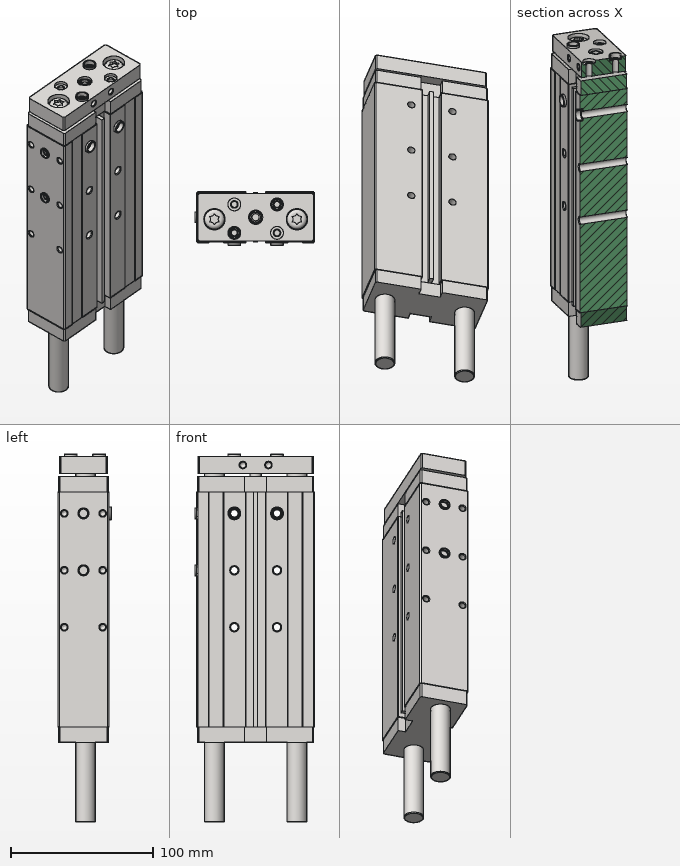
import cadquery as cq
import math


barrel_length = 187.0
cap_length = 11.0
profile_length = barrel_length - 2 * cap_length
profile_half_x = 41.5
profile_half_y = 18.0
profile_chamfer = 1.0
cap_half_x = 40.8
cap_half_y = 17.5
cap_chamfer = 1.0

channel_depth = 6.0
cap_channel_half = 7.7
channel_mouth_half = 7.1
channel_half = 6.8
rib_half = 1.4
rib_drop = 0.6
recess_depth = 0.5
recess_inner_x = 22.3
recess_outer_x = 33.2
recess_slope = 0.5

first_row_z = barrel_length - 26.0
row_pitch = 40.0
row_heights = [first_row_z - i * row_pitch for i in range(3)]
side_sleeve_heights = row_heights[:2]
mount_hole_x = 15.0
mount_hole_diameter = 5.2
mount_rim_diameter = 6.5
side_hole_y = 13.5
thread_hole_diameter = 4.13
thread_rim_diameter = 5.3
thread_hole_depth = 8.0
drill_tip_angle = 118.0

sleeve_diameter = 9.0
sleeve_bore = 7.0
sleeve_seat_depth = 2.1
sleeve_protrusion = 1.8
sleeve_chamfer = 0.3
small_sleeve_diameter = 7.7
small_sleeve_bore = 6.0
small_sleeve_seat_depth = 1.6
small_sleeve_protrusion = 1.29

plate_gap = 2.0
plate_thickness = 12.0
plate_half_x = 40.5
plate_half_y = 16.8
plate_chamfer = 1.0
plate_bottom_z = barrel_length + plate_gap
plate_top_z = plate_bottom_z + plate_thickness

guide_rod_y = -1.4
guide_rod_x = 29.0
guide_rod_diameter = 14.0
guide_rod_chamfer = 0.6
guide_rod_overhang = 56.0
piston_rod_diameter = 8.0
piston_seat_diameter = 10.0
piston_seat_depth = 2.0
piston_chamfer = 0.8
piston_tip_diameter = 8.5
piston_socket_diameter = 5.0
piston_socket_depth = 3.0

plate_hole_x = mount_hole_x
plate_hole_y = 10.0
plate_hole_center_y = -1.0
front_hole_x = 9.0

screw_seat_diameter = 15.0
screw_seat_depth = 4.5
screw_head_diameter = 14.0
screw_head_height = 3.0
screw_face_diameter = 9.0
star_outer_radius = 3.8
star_inner_radius = 2.6
star_depth = 2.0
star_lobes = 6


def chamfered_block(half_x, half_y, chamfer, bottom_z, height):
    """Upright block whose vertical edges are chamfered."""
    block = cq.Workplane("XY", origin=(0, 0, bottom_z)).rect(2 * half_x, 2 * half_y).extrude(height)
    return block.edges("|Z").chamfer(chamfer)


def cylinder(start, direction, diameter, length):
    """Cylinder that grows from a start point along a direction."""
    return cq.Workplane(cq.Solid.makeCylinder(diameter / 2, length, cq.Vector(*start), cq.Vector(*direction)))


def cone(start, direction, start_diameter, end_diameter, length):
    """Cone that tapers from one diameter to another along a direction."""
    solid = cq.Solid.makeCone(
        start_diameter / 2, end_diameter / 2, length, cq.Vector(*start), cq.Vector(*direction)
    )
    return cq.Workplane(solid)


def shifted(start, direction, distance):
    """Point reached from a start point along a direction."""
    return tuple(s + d * distance for s, d in zip(start, direction))


def rim(start, direction, rim_diameter, hole_diameter):
    """45 degree countersink at the mouth of a hole."""
    return cone(start, direction, rim_diameter, hole_diameter, (rim_diameter - hole_diameter) / 2)


def thread_hole(start, direction):
    """Blind threaded hole: countersunk mouth, bore and drill tip."""
    tip_length = thread_hole_diameter / 2 / math.tan(math.radians(drill_tip_angle / 2))
    bottom = shifted(start, direction, thread_hole_depth)
    bore = cylinder(start, direction, thread_hole_diameter, thread_hole_depth)
    tip = cone(bottom, direction, thread_hole_diameter, 0, tip_length)
    return bore.union(tip).union(rim(start, direction, thread_rim_diameter, thread_hole_diameter))


def prism(points):
    """Prism with a constant XY outline along the whole housing."""
    return cq.Workplane("XY", origin=(0, 0, cap_length)).polyline(points).close().extrude(profile_length)


def rod_bores():
    """Bores for the guide rods, and for the piston rod down to the lower cap."""
    bores = cylinder((0, 0, cap_length), (0, 0, 1), piston_rod_diameter, barrel_length - cap_length)
    for x in (-guide_rod_x, guide_rod_x):
        bores = bores.union(cylinder((x, guide_rod_y, 0), (0, 0, 1), guide_rod_diameter, barrel_length))
    return bores


def front_channel():
    """Front channel of the profile, split in two grooves by the rib."""
    face = -profile_half_y
    floor = face + channel_depth
    slope = channel_mouth_half - channel_half
    channel = prism([
        (-channel_mouth_half, face),
        (channel_mouth_half, face),
        (channel_half, face + slope),
        (channel_half, floor),
        (-channel_half, floor),
        (-channel_half, face + slope),
    ])
    rib_tip = face + rib_drop
    rib = prism([
        (-rib_half, rib_tip),
        (rib_half, rib_tip),
        (rib_half, floor),
        (-rib_half, floor),
    ])
    return channel.cut(rib)


def front_recess():
    """Shallow strip with sloped walls on the right-hand half of the front."""
    face = -profile_half_y
    floor = face + recess_depth
    return prism([
        (recess_inner_x, face),
        (recess_outer_x, face),
        (recess_outer_x - recess_slope, floor),
        (recess_inner_x + recess_slope, floor),
    ])


def make_housing():
    body = chamfered_block(profile_half_x, profile_half_y, profile_chamfer, cap_length, profile_length)
    recess = front_recess()
    channel = front_channel()
    body = body.cut(recess).cut(recess.mirror("YZ"))
    body = body.cut(channel).cut(channel.mirror("XZ"))

    for z in row_heights:
        for x in (-mount_hole_x, mount_hole_x):
            mouth = (x, -profile_half_y, z)
            body = body.cut(cylinder(mouth, (0, 1, 0), mount_hole_diameter, 2 * profile_half_y))
            body = body.cut(rim(mouth, (0, 1, 0), mount_rim_diameter, mount_hole_diameter))
        for y in (-side_hole_y, side_hole_y):
            body = body.cut(thread_hole((-profile_half_x, y, z), (1, 0, 0)))
    for x in (-mount_hole_x, mount_hole_x):
        seat_mouth = (x, -profile_half_y, first_row_z)
        body = body.cut(cylinder(seat_mouth, (0, 1, 0), sleeve_diameter, sleeve_seat_depth))
    for z in side_sleeve_heights:
        mouth = (-profile_half_x, 0, z)
        body = body.cut(cylinder(mouth, (1, 0, 0), small_sleeve_diameter, small_sleeve_seat_depth))

    return body.cut(rod_bores())


def end_cap(bottom_z):
    """Smooth cap with a plain channel on the front and back."""
    cap = chamfered_block(cap_half_x, cap_half_y, cap_chamfer, bottom_z, cap_length)
    depth = cap_half_y - (profile_half_y - channel_depth)
    for side in (-1, 1):
        slot = cq.Workplane("XY", origin=(0, side * cap_half_y, bottom_z))
        slot = slot.rect(2 * cap_channel_half, 2 * depth).extrude(cap_length)
        cap = cap.cut(slot)
    return cap.cut(rod_bores())


def guide_rod(x):
    length = barrel_length + guide_rod_overhang + plate_gap
    rod = cylinder((x, guide_rod_y, -guide_rod_overhang), (0, 0, 1), guide_rod_diameter, length)
    return rod.faces("<Z").chamfer(guide_rod_chamfer)


def star_socket():
    """Six-lobed drive recess below the plane z = 0."""
    corners = []
    for i in range(2 * star_lobes):
        radius = star_inner_radius if i % 2 else star_outer_radius
        angle = math.radians(90) + i * math.pi / star_lobes
        corners.append((radius * math.cos(angle), radius * math.sin(angle)))
    return cq.Workplane("XY").polyline(corners).close().extrude(-star_depth)


def screw_head():
    """Domed head with a drive recess, resting on the plane z = 0."""
    face_radius = screw_face_diameter / 2
    head_radius = screw_head_diameter / 2
    middle = math.radians(45)
    arc_middle = (
        face_radius + (head_radius - face_radius) * math.sin(middle),
        screw_head_height * math.cos(middle),
    )
    head = (
        cq.Workplane("XZ")
        .lineTo(head_radius, 0)
        .threePointArc(arc_middle, (face_radius, screw_head_height))
        .lineTo(0, screw_head_height)
        .close()
        .revolve(360, (0, 0, 0), (0, 1, 0))
    )
    return head.cut(star_socket().translate((0, 0, screw_head_height)))


def piston_seat():
    """Stepped opening in the plate around the end of the piston rod."""
    down = (0, 0, -1)
    top = (0, 0, plate_top_z)
    seat = cylinder(top, down, piston_seat_diameter, piston_seat_depth)
    tip_bottom = shifted(top, down, piston_seat_depth)
    tip = cylinder(tip_bottom, (0, 0, 1), piston_tip_diameter, piston_seat_depth - piston_chamfer)
    tip = tip.faces(">Z").chamfer(piston_chamfer)
    socket = cylinder(top, down, piston_socket_diameter, piston_socket_depth)
    return seat.cut(tip).union(socket)


def make_moving_unit():
    down = (0, 0, -1)
    unit = chamfered_block(plate_half_x, plate_half_y, plate_chamfer, plate_bottom_z, plate_thickness)
    for x in (-guide_rod_x, guide_rod_x):
        unit = unit.union(guide_rod(x))
    piston_length = plate_bottom_z - cap_length
    unit = unit.union(cylinder((0, 0, cap_length), (0, 0, 1), piston_rod_diameter, piston_length))
    unit = unit.cut(piston_seat())

    for x in (-guide_rod_x, guide_rod_x):
        mouth = (x, guide_rod_y, plate_top_z)
        seat_floor = shifted(mouth, down, screw_seat_depth)
        unit = unit.cut(cylinder(mouth, down, screw_seat_diameter, screw_seat_depth))
        unit = unit.union(screw_head().translate(seat_floor))
    for x in (-plate_hole_x, plate_hole_x):
        for side in (-1, 1):
            mouth = (x, plate_hole_center_y + side * plate_hole_y, plate_top_z)
            floor = shifted(mouth, down, sleeve_seat_depth)
            unit = unit.cut(cylinder(mouth, down, sleeve_diameter, sleeve_seat_depth))
            unit = unit.cut(cylinder(floor, down, thread_hole_diameter, plate_thickness))
            unit = unit.cut(rim(floor, down, thread_rim_diameter, thread_hole_diameter))
    plate_middle_z = plate_bottom_z + plate_thickness / 2
    for x in (-front_hole_x, front_hole_x):
        unit = unit.cut(thread_hole((x, -plate_half_y, plate_middle_z), (0, 1, 0)))
    return unit


def sleeve(mouth, outward, diameter, bore, seat_depth, protrusion):
    """Sleeve seated in a counterbore, standing out from its mouth, with both outer rims chamfered."""
    floor = shifted(mouth, outward, -seat_depth)
    length = seat_depth + protrusion
    ring = cylinder(floor, outward, diameter, length).edges("%CIRCLE").chamfer(sleeve_chamfer)
    return ring.cut(cylinder(floor, outward, bore, length))


def large_sleeve(mouth, outward):
    """Sleeve of the size used on the housing front and on the plate."""
    return sleeve(mouth, outward, sleeve_diameter, sleeve_bore, sleeve_seat_depth, sleeve_protrusion)


def small_sleeve(mouth, outward):
    """Sleeve of the size used on the -X side of the housing."""
    return sleeve(
        mouth,
        outward,
        small_sleeve_diameter,
        small_sleeve_bore,
        small_sleeve_seat_depth,
        small_sleeve_protrusion,
    )


housing = make_housing()
moving_unit = make_moving_unit()
end_caps = [end_cap(z) for z in (0, barrel_length - cap_length)]
front_sleeves = [
    large_sleeve((x, -profile_half_y, first_row_z), (0, -1, 0)) for x in (-mount_hole_x, mount_hole_x)
]
plate_sleeves = [
    large_sleeve((side * plate_hole_x, plate_hole_center_y + side * plate_hole_y, plate_top_z), (0, 0, 1))
    for side in (-1, 1)
]
side_sleeves = [small_sleeve((-profile_half_x, 0, z), (-1, 0, 0)) for z in side_sleeve_heights]

repeated_parts = end_caps + front_sleeves + plate_sleeves + side_sleeves
repeated_solids = [part.val() for part in repeated_parts]
result = cq.Compound.makeCompound([housing.val(), moving_unit.val(), *repeated_solids])